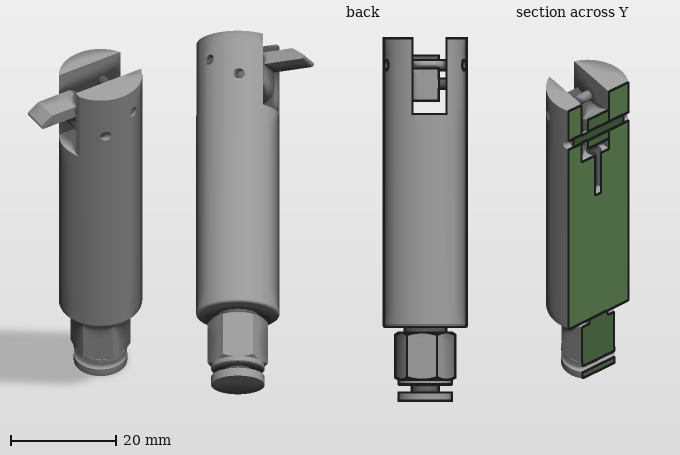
import cadquery as cq
import math

BODY_DIAMETER = 15.9
BODY_LENGTH = 55.0
BODY_BOTTOM_FILLET = 0.5
BODY_RADIUS = BODY_DIAMETER / 2

SLOT_LEFT_X = -4.0
SLOT_RIGHT_X = 2.4
SLOT_DEPTH = 14.4
SLOT_FLOOR_Z = BODY_LENGTH - SLOT_DEPTH

FRONT_FLAT_Y = -7.0

PIN_DIAMETER = 2.0
PIN_LENGTH = 12.0
PIN_RADIUS = PIN_DIAMETER / 2
PIVOT_Y = -3.25
PIVOT_BELOW_TOP = 8.65
PIVOT_Z = BODY_LENGTH - PIVOT_BELOW_TOP
STOP_Y = 2.75
STOP_BELOW_TOP = 5.1
STOP_Z = BODY_LENGTH - STOP_BELOW_TOP
PIN_CENTRES = [(PIVOT_Y, PIVOT_Z), (STOP_Y, STOP_Z)]

LEVER_THICKNESS = 5.0
LEVER_LEFT_X = SLOT_RIGHT_X - LEVER_THICKNESS
LEVER_RADIUS = 3.25
LEVER_BACK_Y = 6.45
OVERALL_DEPTH = 22.62
LEVER_TIP_Y = BODY_RADIUS - OVERALL_DEPTH
TAIL_BELOW_TOP = 3.25
TAIL_TOP_Z = BODY_LENGTH - TAIL_BELOW_TOP
TAIL_HEIGHT = 2.4
TAIL_BACK_Y = -5.3
TIP_RADIUS = 0.5
TIP_ANGLE = math.radians(35)
CUP_RADIUS = 11.0
CUP_CLEARANCE = 0.3
CUP_FRONT_Y = -3.0

BORE_DIAMETER = 3.0
BORE_DEPTH = 10.0
BORE_X = LEVER_LEFT_X + LEVER_THICKNESS / 2
BORE_Y = -2.0

FITTING_LENGTH = 14.0
HEX_ACROSS_FLATS = 10.0
HEX_TURN = -7.0
HEX_TOP_Z = -1.0
HEX_BOTTOM_Z = -10.0
HEX_CHAMFER_HEIGHT = 0.45
HEX_END_RADIUS = HEX_ACROSS_FLATS / 2
COLLAR_DIAMETER = 10.2
COLLAR_BOTTOM_Z = -11.0
COLLAR_CHAMFER = 0.2
NECK_DIAMETER = 8.0
STEM_DIAMETER = 5.2
RING_DIAMETER = 10.2
RING_TOP_Z = -12.4


def x_cylinder(diameter, x_start, length, y, z):
    """Cylinder along X, starting at x_start."""
    plane = cq.Workplane("YZ", origin=(x_start, y, z))
    return plane.circle(diameter / 2).extrude(length)


def make_body():
    bar = cq.Workplane("XY").circle(BODY_RADIUS).extrude(BODY_LENGTH)
    bar = bar.faces("<Z").fillet(BODY_BOTTOM_FILLET)

    slot = cq.Workplane("XY").box(
        SLOT_RIGHT_X - SLOT_LEFT_X, BODY_DIAMETER, SLOT_DEPTH, centered=(False, True, False)
    ).translate((SLOT_LEFT_X, 0, SLOT_FLOOR_Z))
    front_flat = cq.Workplane("XY").box(
        BODY_RADIUS, BODY_RADIUS, SLOT_DEPTH, centered=(False, False, False)
    ).translate((0, FRONT_FLAT_Y - BODY_RADIUS, SLOT_FLOOR_Z))
    bar = bar.cut(slot).cut(front_flat)

    for y, z in PIN_CENTRES:
        bar = bar.cut(x_cylinder(PIN_DIAMETER, -BODY_RADIUS, BODY_DIAMETER, y, z))

    bore = cq.Workplane("XY", origin=(BORE_X, BORE_Y, SLOT_FLOOR_Z)).circle(BORE_DIAMETER / 2)
    return bar.cut(bore.extrude(-BORE_DEPTH))


def make_pin(y, z):
    return x_cylinder(PIN_DIAMETER, -PIN_LENGTH / 2, PIN_LENGTH, y, z)


def cup_z(y):
    """Height of the round hollow, which is lowest right below the stop pin."""
    drop = math.sqrt(CUP_RADIUS ** 2 - (y - STOP_Y) ** 2)
    return STOP_Z - PIN_RADIUS - CUP_CLEARANCE + CUP_RADIUS - drop


def make_lever():
    tail_bottom_z = TAIL_TOP_Z - TAIL_HEIGHT
    heel_front_y = PIVOT_Y - LEVER_RADIUS
    heel_bottom_z = PIVOT_Z - LEVER_RADIUS

    corner_y = LEVER_TIP_Y + TIP_RADIUS - TIP_RADIUS / math.tan(TIP_ANGLE / 2)
    slope_top_y = corner_y + TAIL_HEIGHT / math.tan(TIP_ANGLE)

    profile = (
        cq.Workplane("YZ", origin=(LEVER_LEFT_X, 0, 0))
        .moveTo(TAIL_BACK_Y, TAIL_TOP_Z)
        .lineTo(slope_top_y, TAIL_TOP_Z)
        .lineTo(corner_y, tail_bottom_z)
        .lineTo(heel_front_y, tail_bottom_z)
        .lineTo(heel_front_y, heel_bottom_z)
        .lineTo(LEVER_BACK_Y, heel_bottom_z)
        .lineTo(LEVER_BACK_Y, cup_z(LEVER_BACK_Y))
        .threePointArc((STOP_Y, cup_z(STOP_Y)), (CUP_FRONT_Y, cup_z(CUP_FRONT_Y)))
        .close()
    )
    lever = profile.extrude(LEVER_THICKNESS)
    lever = lever.edges("|X").edges("<Y").fillet(TIP_RADIUS)
    lever = lever.edges("|X").edges("<Z").edges("<Y").fillet(LEVER_RADIUS)
    return lever.cut(x_cylinder(PIN_DIAMETER, -BODY_RADIUS, BODY_DIAMETER, PIVOT_Y, PIVOT_Z))


def make_hex_nut():
    height = HEX_TOP_Z - HEX_BOTTOM_Z
    corner_radius = HEX_ACROSS_FLATS / math.sqrt(3)
    prism = cq.Workplane("XY", origin=(0, 0, HEX_BOTTOM_Z)).polygon(6, 2 * corner_radius)
    prism = prism.extrude(height).rotate((0, 0, 0), (0, 0, 1), HEX_TURN)
    envelope = (
        cq.Workplane("XZ")
        .moveTo(0, HEX_BOTTOM_Z)
        .lineTo(HEX_END_RADIUS, HEX_BOTTOM_Z)
        .lineTo(corner_radius, HEX_BOTTOM_Z + HEX_CHAMFER_HEIGHT)
        .lineTo(corner_radius, HEX_TOP_Z - HEX_CHAMFER_HEIGHT)
        .lineTo(HEX_END_RADIUS, HEX_TOP_Z)
        .lineTo(0, HEX_TOP_Z)
        .close()
        .revolve(360, (0, 0, 0), (0, 1, 0))
    )
    return prism.intersect(envelope)


def make_disc(diameter, bottom_z, top_z):
    return cq.Workplane("XY", origin=(0, 0, bottom_z)).circle(diameter / 2).extrude(top_z - bottom_z)


def make_fitting():
    neck = make_disc(NECK_DIAMETER, HEX_TOP_Z, 0)
    collar = make_disc(COLLAR_DIAMETER, COLLAR_BOTTOM_Z, HEX_BOTTOM_Z)
    collar = collar.faces("<Z").chamfer(COLLAR_CHAMFER)
    stem = make_disc(STEM_DIAMETER, RING_TOP_Z, COLLAR_BOTTOM_Z)
    ring = make_disc(RING_DIAMETER, -FITTING_LENGTH, RING_TOP_Z)
    return make_hex_nut().union(neck).union(collar).union(stem).union(ring)


body = make_body()
lever = make_lever()
pins = [make_pin(y, z) for y, z in PIN_CENTRES]
fitting = make_fitting()

result = cq.Compound.makeCompound(
    [body.val(), lever.val(), *[pin.val() for pin in pins], fitting.val()]
)